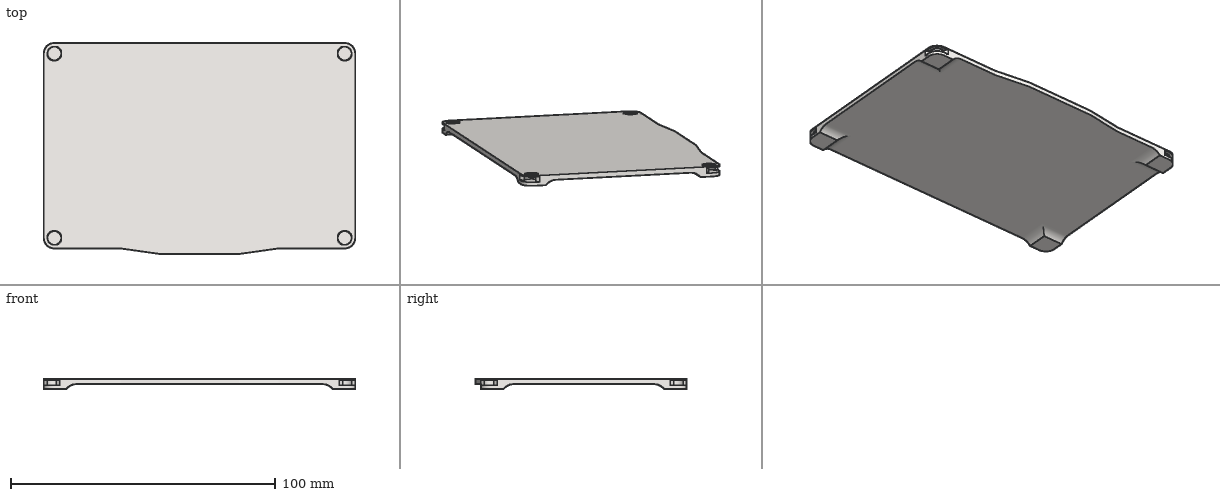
import cadquery as cq

width = 118.0
total_depth = 80.0
bulge_depth = 2.1
body_depth = total_depth - bulge_depth
total_height = 3.9
plate_thickness = 2.0
plate_underside = total_height - plate_thickness
corner_radius = 4.0

bulge_base_half_width = 29.9
bulge_tip_half_width = 14.9

foot_length = 8.5
flare_run = 4.0
flare_radius = (flare_run**2 + plate_underside**2) / (2 * plate_underside)

hole_radius = 2.6
pocket_radius = 2.8
socket_floor = 1.4
socket_roof = 3.4
window_leg = 6.1

corner_x = width / 2 - corner_radius
corner_y = body_depth / 2 - corner_radius


def rounded_block(bottom, height):
    block = cq.Workplane("XY").workplane(offset=bottom).rect(width, body_depth).extrude(height)
    return block.edges("|Z").fillet(corner_radius)


def bulge():
    front = -body_depth / 2
    tip = front - bulge_depth
    outline = [
        (-bulge_base_half_width, front),
        (-bulge_tip_half_width, tip),
        (bulge_tip_half_width, tip),
        (bulge_base_half_width, front),
    ]
    outline += [(bulge_base_half_width, 0), (-bulge_base_half_width, 0)]
    base = cq.Workplane("XY").workplane(offset=plate_underside)
    return base.polyline(outline).close().extrude(plate_thickness)


def side_legs(plane, span, length):
    """Full-length bar with a concave flare, tangent to the plate underside, at each end of the span."""
    half_span = span / 2
    foot_end = half_span - foot_length
    flare_end = foot_end - flare_run
    profile = (
        cq.Workplane(plane)
        .moveTo(half_span, 0)
        .lineTo(foot_end, 0)
        .radiusArc((flare_end, plate_underside), -flare_radius)
        .lineTo(flare_end, total_height)
        .lineTo(half_span, total_height)
        .close()
    )
    leg = profile.extrude(length / 2, both=True)
    return leg.union(leg.rotate((0, 0, 0), (0, 0, 1), 180))


def corner_feet():
    legs_along_x = side_legs("XZ", width, body_depth)
    legs_along_y = side_legs("YZ", body_depth, width)
    return legs_along_x.intersect(legs_along_y).intersect(rounded_block(0, total_height))


def socket(x_side, y_side):
    base = cq.Workplane("XY", origin=(0, 0, socket_floor))
    socket_height = socket_roof - socket_floor
    centre = base.center(x_side * corner_x, y_side * corner_y)
    pocket = centre.circle(pocket_radius).extrude(socket_height)
    hole = centre.circle(hole_radius).extrude(total_height - socket_floor)
    edge_x = x_side * width / 2
    edge_y = y_side * body_depth / 2
    window = (
        base.moveTo(edge_x, edge_y)
        .lineTo(edge_x - x_side * window_leg, edge_y)
        .lineTo(edge_x, edge_y - y_side * window_leg)
        .close()
        .extrude(socket_height)
    )
    return pocket.union(hole).union(window)


result = rounded_block(plate_underside, plate_thickness).union(bulge()).union(corner_feet())

for x_side in (-1, 1):
    for y_side in (-1, 1):
        result = result.cut(socket(x_side, y_side))